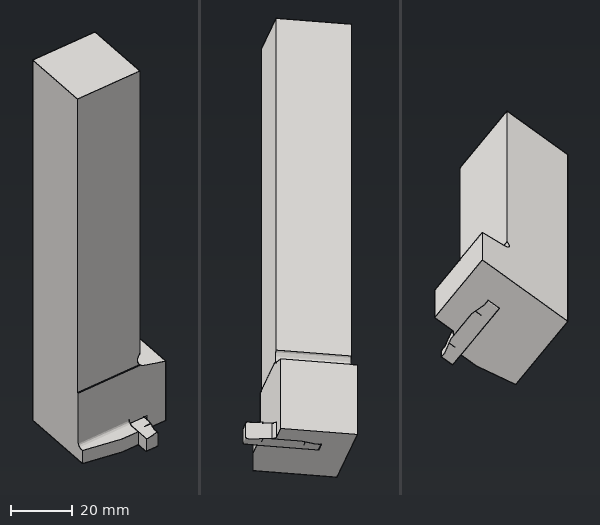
import cadquery as cq
import math

shank_size = 25.0
total_height = 150.0
head_depth = 35.1
head_back_height = 24.7
head_slope = math.radians(15.0)
relief_radius = 3.0
relief_depth = 1.0
step_thickness = 0.4
step_height = 27.8
head_face = shank_size + step_thickness

blade_thickness = 5.5
blade_front_reach = 27.8
blade_reach = 30.45
blade_taper_depth = 14.0
blade_root_radius = 1.8
jaw_lip = 1.2

insert_seat = 20.4
insert_top = 26.4
rake_height = shank_size
tip_x = 35.04
insert_center_x = 22.5
rake_length = 2.0
rake_slope_length = 5.0
edge_bottom = -0.02
edge_top = 6.0
corner_radius = 0.6
flare_start = (29.5, 23.6)
flare_end = (34.5, 21.2)


def make_insert_outline(bottom, top):
    """Prism of the insert's XY outline between two heights."""
    land_x = tip_x - rake_length
    crest_x = land_x - rake_slope_length
    right_half = [
        (tip_x, insert_seat),
        (tip_x, rake_height),
        (land_x, rake_height),
        (crest_x, insert_top),
    ]
    left_half = [(2 * insert_center_x - x, y) for x, y in reversed(right_half)]
    return (
        cq.Workplane("XY", origin=(0, 0, bottom))
        .polyline(right_half + left_half)
        .close()
        .extrude(top - bottom)
    )


def make_flare(rise):
    """Wedge that widens the +X end of the insert by `rise` toward the cutting edge, based at Z = 0."""
    run_x = flare_end[0] - flare_start[0]
    run_y = flare_end[1] - flare_start[1]
    run = math.hypot(run_x, run_y)
    across = (-run_y / run, run_x / run)
    edge_x = tip_x - corner_radius
    edge_distance = (edge_x - flare_start[0]) * across[0] + (rake_height - flare_start[1]) * across[1]
    wedge_plane = cq.Plane(
        origin=(flare_start[0], flare_start[1], 0),
        xDir=(across[0], across[1], 0),
        normal=(run_x, run_y, 0),
    )
    wedge = (
        cq.Workplane(wedge_plane)
        .polyline([(0, 0), (2 * edge_distance, 0), (2 * edge_distance, 2 * rise)])
        .close()
        .extrude(2 * run, both=True)
    )
    flare_zone = (
        cq.Workplane("XY")
        .box(tip_x - flare_start[0], head_depth, 2 * rise, centered=False)
        .translate((flare_start[0], 0, 0))
    )
    return wedge.intersect(flare_zone)


def make_insert():
    """Straight waist with both ends flared toward the cutting edges and rounded at the corners."""
    upper_flare = make_flare(edge_top - blade_thickness).translate((0, 0, blade_thickness))
    lower_flare = make_flare(-edge_bottom).mirror("XY")
    flares = upper_flare.union(lower_flare)
    flares = flares.union(flares.mirror("YZ", (insert_center_x, 0, 0)))
    flares = flares.intersect(make_insert_outline(edge_bottom, edge_top))
    rounded_envelope = (
        cq.Workplane("XY")
        .box(2 * (tip_x - insert_center_x), 2 * head_depth, edge_top - edge_bottom)
        .edges("|Y")
        .fillet(corner_radius)
        .translate((insert_center_x, 0, (edge_bottom + edge_top) / 2))
    )
    waist = make_insert_outline(0, blade_thickness)
    return waist.union(flares).intersect(rounded_envelope)


def make_shank_and_head():
    """Side profile in YZ, with the rounded undercut and sloping head top."""
    center_y = shank_size - relief_depth + relief_radius
    tangent_y = center_y - relief_radius * math.sin(head_slope)
    tangent_z = head_back_height + (head_depth - tangent_y) * math.tan(head_slope)
    center_z = tangent_z + relief_radius * math.cos(head_slope)
    exit_z = center_z + math.sqrt(relief_radius**2 - (center_y - shank_size) ** 2)

    def profile(thickness):
        return (
            cq.Workplane("YZ")
            .lineTo(head_depth, 0)
            .lineTo(head_depth, head_back_height)
            .lineTo(tangent_y, tangent_z)
            .threePointArc((center_y - relief_radius, center_z), (shank_size, exit_z))
            .lineTo(shank_size, total_height)
            .lineTo(0, total_height)
            .close()
            .extrude(thickness)
        )

    head_zone = cq.Workplane("XY").box(head_face, head_depth, step_height, centered=False)
    return profile(shank_size).union(profile(head_face).intersect(head_zone))


def make_blade():
    """Blade under the insert, with a concave root fillet against the head."""
    plan = (
        cq.Workplane("XY")
        .moveTo(shank_size, 0)
        .lineTo(blade_front_reach, 0)
        .lineTo(blade_reach, blade_taper_depth)
        .lineTo(blade_reach, insert_seat)
        .lineTo(shank_size, insert_seat)
        .close()
        .extrude(blade_thickness)
    )
    arc_mid = blade_root_radius * (1 - math.sqrt(0.5))
    root = (
        cq.Workplane("XZ")
        .moveTo(head_face, blade_thickness)
        .lineTo(head_face + blade_root_radius, blade_thickness)
        .threePointArc(
            (head_face + arc_mid, blade_thickness + arc_mid),
            (head_face, blade_thickness + blade_root_radius),
        )
        .close()
        .extrude(-insert_seat)
    )
    return plan.union(root)


def make_jaw_lip():
    return (
        cq.Workplane("XY")
        .moveTo(head_face, insert_top)
        .lineTo(head_face + jaw_lip, insert_top)
        .lineTo(head_face, insert_top + jaw_lip)
        .close()
        .extrude(blade_thickness)
    )


def make_holder(insert):
    """Holder with the insert pocket open at its bottom face."""
    pocket = make_insert_outline(0, blade_thickness)
    body = make_shank_and_head().union(make_blade()).union(make_jaw_lip())
    return body.cut(pocket).cut(insert)


insert = make_insert()
holder = make_holder(insert)

result = cq.Compound.makeCompound([holder.solids().val(), insert.solids().val()])